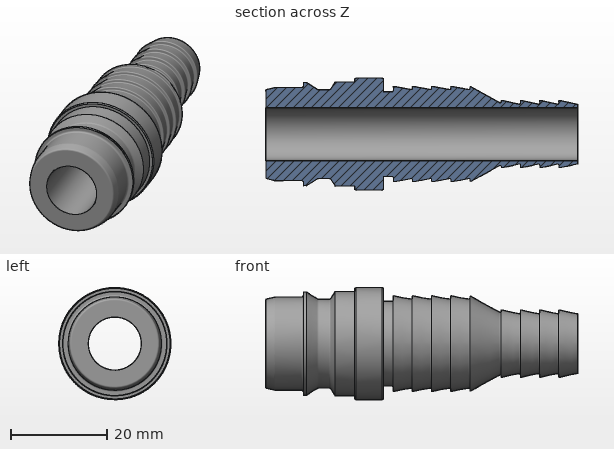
import cadquery as cq

length = 65.0
bore_diameter = 11.0
blend_radius = 0.4
barb_round = 0.2

face_diameter = 18.5
plug_diameter = 19.45
plug_taper_length = 1.95
nose_round = 0.4
shoulder_round = 1.0

ring_start = 7.85
ring_diameter = 21.6
ring_land = 0.65
groove_start = 10.9
groove_end = 13.45
groove_diameter = 18.5

body_start = 14.5
body_diameter = 21.8
collar_start = 18.5
collar_end = 24.6
collar_diameter = 23.4
collar_chamfer_length = 0.3
collar_chamfer_depth = 0.2
neck_diameter = 17.7

barb_section_length = 16.0
barb_count = 4
barb_pitch = barb_section_length / barb_count
large_crest_diameter = 20.0
large_root_diameter = 18.5
small_crest_diameter = 14.2
small_root_diameter = 12.4
large_barb_start = 26.5
cone_start = large_barb_start + barb_section_length
small_barb_start = length - barb_section_length
cone_end_diameter = 12.8


def barb_points(start, count, crest_diameter, root_diameter):
    """Crest and root of each barb, from left to right."""
    points = []
    for index in range(count):
        crest_x = start + index * barb_pitch
        points.append((crest_x, crest_diameter / 2))
        points.append((crest_x + barb_pitch, root_diameter / 2))
    return points


def edge_circle(body, x, diameter):
    """Select the circular outer edge at one place along the axis."""
    tolerance = 0.005
    return body.edges("%CIRCLE").filter(
        lambda edge: abs(edge.Center().x - x) < tolerance
        and abs(edge.radius() - diameter / 2) < tolerance
    )


def round_edges(body, circles, radius):
    """Round the circular edges given as (x, diameter) pairs."""
    for x, diameter in circles:
        body = edge_circle(body, x, diameter).fillet(radius)
    return body


collar_edge_radius = collar_diameter / 2 - collar_chamfer_depth
outline = [
    (0, 0),
    (0, face_diameter / 2),
    (plug_taper_length, plug_diameter / 2),
    (ring_start, plug_diameter / 2),
    (ring_start, ring_diameter / 2),
    (ring_start + ring_land, ring_diameter / 2),
    (groove_start, groove_diameter / 2),
    (groove_end, groove_diameter / 2),
    (body_start, body_diameter / 2),
    (collar_start, body_diameter / 2),
    (collar_start, collar_edge_radius),
    (collar_start + collar_chamfer_length, collar_diameter / 2),
    (collar_end - collar_chamfer_length, collar_diameter / 2),
    (collar_end, collar_edge_radius),
    (collar_end, neck_diameter / 2),
    (large_barb_start, neck_diameter / 2),
]
outline += barb_points(large_barb_start, barb_count, large_crest_diameter, large_root_diameter)
outline += [
    (cone_start, large_crest_diameter / 2),
    (small_barb_start, cone_end_diameter / 2),
]
outline += barb_points(small_barb_start, barb_count, small_crest_diameter, small_root_diameter)
outline.append((length, 0))
body = cq.Workplane("XY").polyline(outline).close().revolve(360, (0, 0, 0), (1, 0, 0))

body = round_edges(body, [(0, face_diameter)], nose_round)
body = round_edges(body, [(plug_taper_length, plug_diameter)], shoulder_round)
plug_blends = [
    (ring_start, plug_diameter),
    (groove_start, groove_diameter),
    (groove_end, groove_diameter),
]
body = round_edges(body, plug_blends, blend_radius)

barb_roots = [(large_barb_start, neck_diameter), (small_barb_start, cone_end_diameter)]
for index in range(1, barb_count + 1):
    barb_roots.append((large_barb_start + index * barb_pitch, large_root_diameter))
for index in range(1, barb_count):
    barb_roots.append((small_barb_start + index * barb_pitch, small_root_diameter))
barb_crests = []
for index in range(barb_count + 1):
    barb_crests.append((large_barb_start + index * barb_pitch, large_crest_diameter))
for index in range(barb_count):
    barb_crests.append((small_barb_start + index * barb_pitch, small_crest_diameter))
body = round_edges(body, barb_roots + barb_crests, barb_round)

bore = cq.Workplane("YZ").circle(bore_diameter / 2).extrude(length)
result = body.cut(bore)